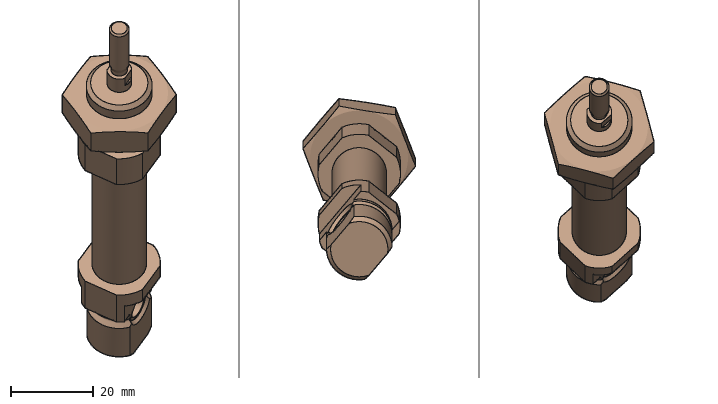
import cadquery as cq
import math

PIVOT_Z = 14.0
REAR_HEAD_BOTTOM = 17.0
REAR_FLAT_TOP = 23.0
TUBE_BOTTOM = 27.3
TUBE_TOP = 69.8
FRONT_HEAD_TOP = 79.7
COLLAR_TOP = 81.8
NUT_BOTTOM = 84.6
HOUSING_TOP = 96.6
WRENCH_FLAT_BOTTOM = 98.9
ROD_SHOULDER = 101.7
ROD_THREAD_BOTTOM = 104.2
ROD_TOP = 117.7

NECK_RADIUS = 16.0 / 2
NECK_CHAMFER = 1.1
TUBE_RADIUS = 13.3 / 2
HEAD_WIDTH = 18.0
HEAD_CORNER_RADIUS = 20.0 / 2
UNDERCUT_RADIUS = 13.7 / 2
UNDERCUT_FILLET = 0.6
CONE_ANGLE = math.radians(45)
REAR_FLAT_WIDTH = 12.0

GROOVE_RADIUS = 13.7 / 2
GROOVE_TOP = 15.2
GROOVE_FLOOR_TOP = 14.5
GROOVE_BOTTOM = 12.0
GROOVE_FILLET = 0.6

PIVOT_DIAMETER = 6.0
PIVOT_MOUTH_DIAMETER = 9.3
PIVOT_GROOVE_DIAMETER = 8.0
PIVOT_RIM_DIAMETER = 7.5
PIVOT_GROOVE_DEPTH = 1.1
PIVOT_RIM_DEPTH = 0.8

ROD_RADIUS = 6.0 / 2
ROD_THREAD_RADIUS = 4.8 / 2
ROD_NECK_RADIUS = 4.0 / 2
ROD_NECK_TOP = 102.8
ROD_TIP_CHAMFER = 0.5
ROD_FLAT_WIDTH = 5.1
ROD_BOTTOM = TUBE_TOP

NUT_WIDTH = 24.0
NUT_HEIGHT = 8.0
NUT_CHAMFER_RADIUS = 23.8 / 2
NUT_CHAMFER_SLOPE = 0.3


def revolve_profile(points):
    """Revolve a closed profile of (radius, z) points about the Z axis."""
    return cq.Workplane("XZ").polyline(points).close().revolve(360, (0, 0, 0), (0, 1, 0))


def cut_side_flats(body, width, bottom, top):
    """Cut two flats facing -X and +X, leaving the given width between them."""
    cutter_size = 2 * HEAD_WIDTH
    for side in (-1, 1):
        cutter = (
            cq.Workplane("XY", origin=(side * (width + cutter_size) / 2, 0, bottom))
            .rect(cutter_size, cutter_size)
            .extrude(top - bottom)
        )
        body = body.cut(cutter)
    return body


def make_square_head(bottom, top):
    """Square head with its corners rounded by a circle on the axis."""
    height = top - bottom
    square = cq.Workplane("XY", origin=(0, 0, bottom)).rect(HEAD_WIDTH, HEAD_WIDTH).extrude(height)
    circle = cq.Workplane("XY", origin=(0, 0, bottom)).circle(HEAD_CORNER_RADIUS).extrude(height)
    return square.intersect(circle)


def cone_fillet_points(floor_radius, fillet, cone_end_z, side):
    """Fillet from a cylindrical floor to a cone at CONE_ANGLE, as floor end, middle and cone start.

    The cone reaches the neck radius at cone_end_z. It lies above the floor for side 1, below for side -1.
    """
    cone_start_radius = floor_radius + fillet * (1 - math.cos(CONE_ANGLE))
    cone_start_z = cone_end_z - side * (NECK_RADIUS - cone_start_radius) / math.tan(CONE_ANGLE)
    floor_end_z = cone_start_z - side * fillet * math.sin(CONE_ANGLE)
    middle_radius = floor_radius + fillet * (1 - math.cos(CONE_ANGLE / 2))
    middle_z = floor_end_z + side * fillet * math.sin(CONE_ANGLE / 2)
    return (floor_radius, floor_end_z), (middle_radius, middle_z), (cone_start_radius, cone_start_z)


def make_housing_core():
    """All the round parts of the housing in one revolved profile."""
    chamfered_radius = NECK_RADIUS - NECK_CHAMFER
    groove_floor, groove_middle, groove_cone = cone_fillet_points(
        GROOVE_RADIUS, GROOVE_FILLET, GROOVE_BOTTOM, -1
    )
    thread_floor, thread_middle, thread_cone = cone_fillet_points(
        UNDERCUT_RADIUS, UNDERCUT_FILLET, NUT_BOTTOM, 1
    )
    fillet_inset = UNDERCUT_FILLET * (1 - math.sqrt(0.5))
    profile = (
        cq.Workplane("XZ")
        .lineTo(chamfered_radius, 0)
        .lineTo(NECK_RADIUS, NECK_CHAMFER)
        .lineTo(NECK_RADIUS, GROOVE_BOTTOM)
        .lineTo(*groove_cone)
        .threePointArc(groove_middle, groove_floor)
        .lineTo(GROOVE_RADIUS, GROOVE_FLOOR_TOP)
        .lineTo(NECK_RADIUS, GROOVE_TOP)
        .lineTo(NECK_RADIUS, REAR_HEAD_BOTTOM)
        .lineTo(TUBE_RADIUS, REAR_HEAD_BOTTOM)
        .lineTo(TUBE_RADIUS, FRONT_HEAD_TOP)
        .lineTo(NECK_RADIUS, FRONT_HEAD_TOP)
        .lineTo(NECK_RADIUS, COLLAR_TOP)
        .lineTo(UNDERCUT_RADIUS + UNDERCUT_FILLET, COLLAR_TOP)
        .threePointArc(
            (UNDERCUT_RADIUS + fillet_inset, COLLAR_TOP + fillet_inset),
            (UNDERCUT_RADIUS, COLLAR_TOP + UNDERCUT_FILLET),
        )
        .lineTo(*thread_floor)
        .threePointArc(thread_middle, thread_cone)
        .lineTo(NECK_RADIUS, NUT_BOTTOM)
        .lineTo(NECK_RADIUS, HOUSING_TOP - NECK_CHAMFER)
        .lineTo(chamfered_radius, HOUSING_TOP)
        .lineTo(0, HOUSING_TOP)
        .close()
    )
    return profile.revolve(360, (0, 0, 0), (0, 1, 0))


def make_pivot_cutter():
    """Hole along X with a sunken rim and a V groove at each mouth."""
    face = REAR_FLAT_WIDTH / 2
    rim = face - PIVOT_RIM_DEPTH
    half_profile = [
        (0, 0),
        (0, PIVOT_DIAMETER / 2),
        (rim, PIVOT_DIAMETER / 2),
        (rim, PIVOT_RIM_DIAMETER / 2),
        (face - PIVOT_GROOVE_DEPTH, PIVOT_GROOVE_DIAMETER / 2),
        (face, PIVOT_MOUTH_DIAMETER / 2),
        (face, 0),
    ]
    half_cutter = cq.Workplane("XY").polyline(half_profile).close().revolve(360, (0, 0, 0), (1, 0, 0))
    return half_cutter.union(half_cutter.mirror("YZ")).translate((0, 0, PIVOT_Z))


def make_housing():
    """Tube with its square heads, pivot end, mounting thread and rod bore."""
    housing = make_housing_core()
    housing = housing.union(make_square_head(REAR_HEAD_BOTTOM, TUBE_BOTTOM))
    housing = housing.union(make_square_head(TUBE_TOP, FRONT_HEAD_TOP))
    housing = cut_side_flats(housing, REAR_FLAT_WIDTH, 0, REAR_FLAT_TOP)
    housing = housing.cut(make_pivot_cutter())
    rod_bore = (
        cq.Workplane("XY", origin=(0, 0, ROD_BOTTOM))
        .circle(ROD_RADIUS)
        .extrude(HOUSING_TOP - ROD_BOTTOM)
    )
    return housing.cut(rod_bore)


def make_rod():
    """Piston rod with a thread end, a neck below it and two wrench flats."""
    rod = revolve_profile([
        (0, ROD_BOTTOM),
        (ROD_RADIUS, ROD_BOTTOM),
        (ROD_RADIUS, ROD_SHOULDER),
        (ROD_NECK_RADIUS, ROD_SHOULDER),
        (ROD_NECK_RADIUS, ROD_NECK_TOP),
        (ROD_THREAD_RADIUS, ROD_THREAD_BOTTOM),
        (ROD_THREAD_RADIUS, ROD_TOP - ROD_TIP_CHAMFER),
        (ROD_THREAD_RADIUS - ROD_TIP_CHAMFER, ROD_TOP),
        (0, ROD_TOP),
    ])
    return cut_side_flats(rod, ROD_FLAT_WIDTH, WRENCH_FLAT_BOTTOM, ROD_SHOULDER)


def make_nut():
    """Hexagon nut with flats facing -X and +X and chamfered corners."""
    hexagon = (
        cq.Workplane("XY", origin=(0, 0, NUT_BOTTOM))
        .polygon(6, NUT_WIDTH, circumscribed=True)
        .extrude(NUT_HEIGHT)
    )
    nut_top = NUT_BOTTOM + NUT_HEIGHT
    outer_radius = NUT_WIDTH
    chamfer_height = (outer_radius - NUT_CHAMFER_RADIUS) * NUT_CHAMFER_SLOPE
    chamfer_body = revolve_profile([
        (0, NUT_BOTTOM),
        (NUT_CHAMFER_RADIUS, NUT_BOTTOM),
        (outer_radius, NUT_BOTTOM + chamfer_height),
        (outer_radius, nut_top - chamfer_height),
        (NUT_CHAMFER_RADIUS, nut_top),
        (0, nut_top),
    ])
    bore = cq.Workplane("XY", origin=(0, 0, NUT_BOTTOM)).circle(NECK_RADIUS).extrude(NUT_HEIGHT)
    return hexagon.intersect(chamfer_body).cut(bore)


housing = make_housing()
rod = make_rod()
nut = make_nut()

result = cq.Compound.makeCompound([housing.val(), rod.val(), nut.val()])